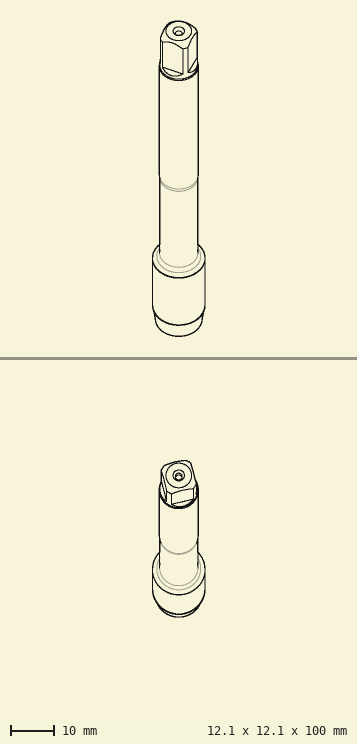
import cadquery as cq
import math

total_length = 100.0

head_diameter = 12.1
tip_diameter = 10.8
lead_top_diameter = 11.8
lead_length = 4.6
head_length = 21.0

collar_height = 0.2
shoulder_angle = math.radians(30)
neck_fillet_radius = 1.3

neck_diameter = 8.8
shank_diameter = 9.0
shank_start = 50.2
shank_taper_length = 0.9
shank_end = 88.2
shank_chamfer_height = 0.3

drive_corner_diameter = 8.7
drive_width = 7.0
drive_length = 10.1
runout_angle = math.radians(45)
drive_chamfer = 1.4

centre_diameter = 1.6
countersink_diameter = 2.6
countersink_depth = 0.9
centre_depth = 2.4
centre_tip_depth = 0.5


def revolve_profile(points):
    """Revolve a closed (radius, z) outline about the Z axis."""
    return cq.Workplane("XZ").polyline(points).close().revolve(360, (0, 0), (0, 1))


def make_cutting_head():
    """Cylindrical head with a conical lead at the tip."""
    return revolve_profile([
        (0, 0),
        (tip_diameter / 2, 0),
        (lead_top_diameter / 2, lead_length),
        (head_diameter / 2, lead_length),
        (head_diameter / 2, head_length),
        (0, head_length),
    ])


def make_shank_blank():
    """Turned shank: shoulder, neck, shank and round drive end."""
    head_radius = head_diameter / 2
    neck_radius = neck_diameter / 2
    shank_radius = shank_diameter / 2
    drive_radius = drive_corner_diameter / 2
    collar_top = head_length + collar_height

    fillet_turn = math.pi / 2 - shoulder_angle
    shoulder_radius = neck_radius + neck_fillet_radius * (1 - math.cos(fillet_turn))
    shoulder_top = collar_top + (head_radius - shoulder_radius) * math.tan(shoulder_angle)
    neck_start = shoulder_top + neck_fillet_radius * math.sin(fillet_turn)
    fillet_middle = (
        neck_radius + neck_fillet_radius * (1 - math.cos(fillet_turn / 2)),
        neck_start - neck_fillet_radius * math.sin(fillet_turn / 2),
    )

    return (
        cq.Workplane("XZ")
        .moveTo(0, head_length)
        .lineTo(head_radius, head_length)
        .lineTo(head_radius, collar_top)
        .lineTo(shoulder_radius, shoulder_top)
        .threePointArc(fillet_middle, (neck_radius, neck_start))
        .lineTo(neck_radius, shank_start - shank_taper_length)
        .lineTo(shank_radius, shank_start)
        .lineTo(shank_radius, shank_end - shank_chamfer_height)
        .lineTo(drive_radius, shank_end)
        .lineTo(drive_radius, total_length - drive_chamfer)
        .lineTo(drive_radius - drive_chamfer, total_length)
        .lineTo(0, total_length)
        .close()
        .revolve(360, (0, 0), (0, 1))
    )


def make_flat_cutter():
    """Cutter for the drive flat facing +X, with a floor that slopes down outwards."""
    flat_x = drive_width / 2
    outer_x = shank_diameter / 2
    flat_bottom = total_length - drive_length
    runout_height = (outer_x - flat_x) * math.tan(runout_angle)
    return (
        cq.Workplane("XZ")
        .polyline([
            (flat_x, flat_bottom),
            (outer_x, flat_bottom - runout_height),
            (outer_x, total_length),
            (flat_x, total_length),
        ])
        .close()
        .extrude(shank_diameter / 2, both=True)
    )


def make_centre_hole():
    """Countersunk centre hole with a conical bottom."""
    centre_bottom = total_length - centre_depth
    return revolve_profile([
        (0, total_length),
        (countersink_diameter / 2, total_length),
        (centre_diameter / 2, total_length - countersink_depth),
        (centre_diameter / 2, centre_bottom),
        (0, centre_bottom - centre_tip_depth),
    ])


def make_shank():
    """Shank with four drive flats and a centre hole."""
    shank = make_shank_blank()
    for side in range(4):
        shank = shank.cut(make_flat_cutter().rotate((0, 0, 0), (0, 0, 1), 90 * side))
    return shank.cut(make_centre_hole())


cutting_head = make_cutting_head()
shank = make_shank()

result = cq.Compound.makeCompound([cutting_head.val(), shank.val()])